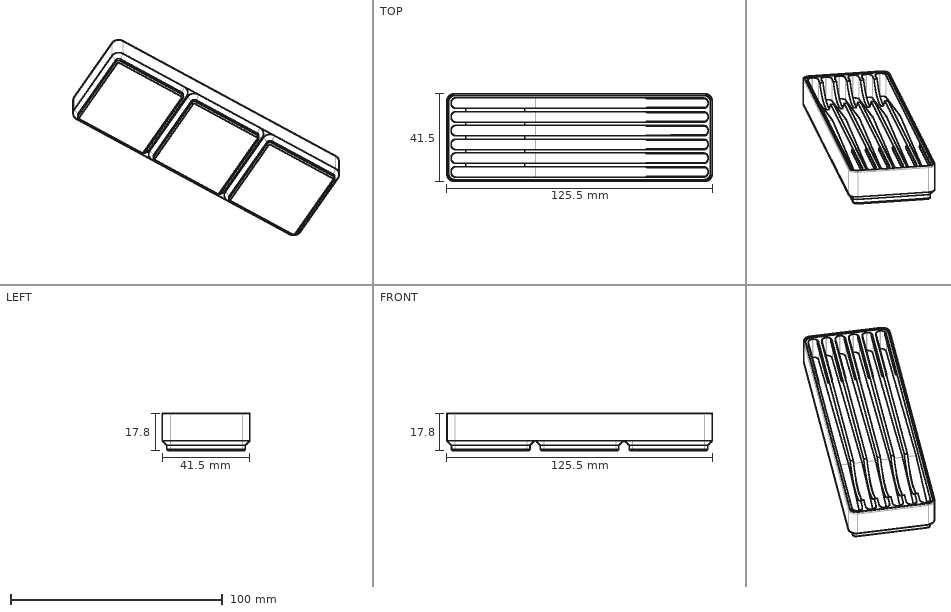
import cadquery as cq

grid_pitch = 42.0
grid_columns = 3
fit_clearance = 0.5
foot_size = grid_pitch - fit_clearance
length = grid_columns * grid_pitch - fit_clearance
width = foot_size
height = 17.8
corner_radius = 3.75

foot_lower_chamfer = 0.8
foot_straight = 1.8
foot_upper_chamfer = 2.15
foot_neck_top = foot_lower_chamfer + foot_straight
foot_height = foot_neck_top + foot_upper_chamfer
foot_overlap = 1.0

rim_fillet = 0.5
rim_depth = 0.5
rim_width = 0.9
top_face = height - rim_depth

slot_count = 6
slot_width = 5.0
slot_wall = 1.5
slot_pitch = slot_width + slot_wall
slots_span = slot_count * slot_width + (slot_count - 1) * slot_wall
slot_margin = (width - slots_span) / 2
slot_length = length - 2 * slot_margin
slot_end_radius = 2.4

pivot_x = -21.0
pivot_level = 11.1
floor_thickness = 1.0
floor_end_level = foot_height + floor_thickness

scoop_center_x = -39.8
scoop_width = 28.0
scoop_depth = 7.0

bead_radius = 1.5
bead_protrusion = 0.45
bead_start_x = 32.25
bead_below_top = 1.4


def rounded_prism(size_x, size_y, radius, bottom, top):
    """Upright block with rounded vertical corners, centred on the Z axis."""
    block = cq.Workplane("XY").workplane(offset=bottom).rect(size_x, size_y).extrude(top - bottom)
    return block.edges("|Z").fillet(radius)


def make_foot():
    """Stepped foot: small chamfer, straight band and large chamfer up to full size."""
    neck_size = foot_size - 2 * foot_upper_chamfer
    neck_radius = corner_radius - foot_upper_chamfer
    neck = rounded_prism(neck_size, neck_size, neck_radius, 0, foot_neck_top)
    neck = neck.faces("<Z").chamfer(foot_lower_chamfer)
    flare_top = foot_height + foot_overlap
    flare = rounded_prism(foot_size, foot_size, corner_radius, foot_neck_top, flare_top)
    flare = flare.faces("<Z").chamfer(foot_upper_chamfer)
    return neck.union(flare)


def make_body():
    """Tray block with a rounded outer rim and a shallow recess inside it."""
    body = rounded_prism(length, width, corner_radius, foot_height, height)
    body = body.faces(">Z").edges().fillet(rim_fillet)
    recess = rounded_prism(
        length - 2 * rim_width,
        width - 2 * rim_width,
        corner_radius - rim_width,
        top_face,
        height,
    )
    return body.cut(recess)


def make_slot(center_y):
    """Slot volume with rounded ends and a floor sloping down both ways from the pivot line."""
    half_length = slot_length / 2
    blank = rounded_prism(slot_length, slot_width, slot_end_radius, 0, height)
    side_profile = (
        cq.Workplane("XZ")
        .moveTo(-half_length, height)
        .lineTo(-half_length, floor_end_level)
        .lineTo(pivot_x, pivot_level)
        .lineTo(half_length, floor_end_level)
        .lineTo(half_length, height)
        .close()
        .extrude(slot_width / 2, both=True)
    )
    return blank.intersect(side_profile).translate((0, center_y, 0))


def make_beads(center_y):
    """Pair of round-nosed rods sunk into the side walls, trimmed to the part inside the slot."""
    offset_y = slot_width / 2 + bead_radius - bead_protrusion
    rod_length = slot_length / 2 - bead_start_x
    rod = cq.Workplane("YZ").circle(bead_radius).extrude(rod_length)
    rod = rod.union(cq.Workplane("XY").sphere(bead_radius))
    rod = rod.translate((bead_start_x, center_y, top_face - bead_below_top))
    pair = rod.translate((0, -offset_y, 0)).union(rod.translate((0, offset_y, 0)))
    return pair.intersect(make_slot(center_y))


def make_scoop():
    """Arc-shaped cut through one wall between two slots, centred on Y = 0."""
    half_width = scoop_width / 2
    return (
        cq.Workplane("XZ")
        .moveTo(scoop_center_x - half_width, top_face)
        .threePointArc(
            (scoop_center_x, top_face - scoop_depth),
            (scoop_center_x + half_width, top_face),
        )
        .close()
        .extrude(slot_wall / 2, both=True)
    )


slot_centers = [(row - (slot_count - 1) / 2) * slot_pitch for row in range(slot_count)]

result = make_body()
foot = make_foot()
for column in range(grid_columns):
    foot_x = (column - (grid_columns - 1) / 2) * grid_pitch
    result = result.union(foot.translate((foot_x, 0, 0)))

for center_y in slot_centers:
    result = result.cut(make_slot(center_y))
scoop = make_scoop()
for center_y in slot_centers[:-1]:
    result = result.cut(scoop.translate((0, center_y + slot_pitch / 2, 0)))

for center_y in slot_centers:
    result = result.union(make_beads(center_y))